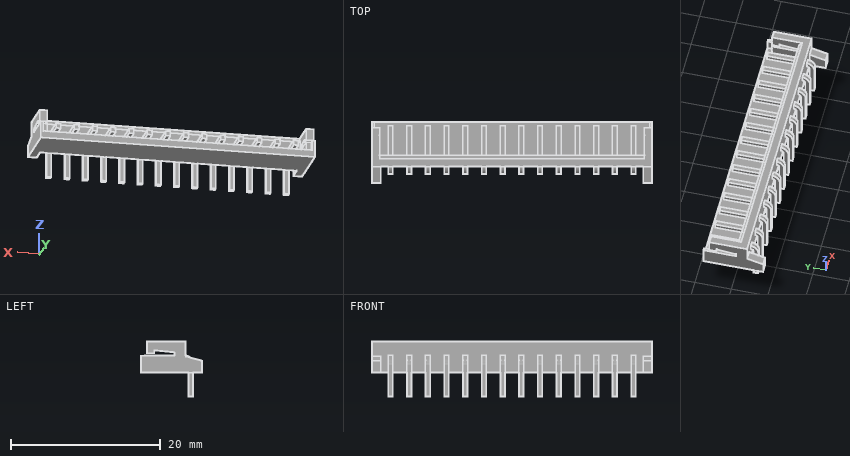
import cadquery as cq


pin_count = 14
pin_pitch = 2.5
pin_size = 0.64
pin_tip_depth = 0.5
pin_top = 2.32
pin_tail_length = 3.2
pin_tail_back = 7.0
bend_outer_radius = 1.1

end_margin = 2.5
length = (pin_count - 1) * pin_pitch + 2 * end_margin
height = 4.2
depth = 6.0

end_wall_setback = 0.8
end_wall_thickness = 1.05
lead_in_lip = 0.35
ledge_height = 2.3
floor_height = 0.95
tray_depth = 4.5
tray_top_depth = 4.95
chamfer_height = 0.65

latch_depth = 1.8
latch_mouth_height = 2.6
latch_front_height = 2.98
latch_rear_height = 2.72

leg_width = 1.2
leg_end_depth = 8.2
leg_root_height = 2.2
leg_tip_height = 1.62


def extrude_profile(points, width, x_center):
    """Extrude a closed outline of (depth, height) points along X, centred on x_center."""
    outline = [(-point_depth, z) for point_depth, z in points]
    profile = cq.Workplane("YZ", origin=(x_center, 0, 0)).polyline(outline).close()
    return profile.extrude(width / 2, both=True)


def make_block():
    """Solid housing with the upper part set back from the mating face."""
    outline = [
        (0, 0),
        (depth, 0),
        (depth, height),
        (end_wall_setback, height),
        (end_wall_setback, ledge_height),
        (0, ledge_height),
    ]
    return extrude_profile(outline, length, 0)


def make_tray():
    """Space between the end walls, widened next to the mating face."""
    tray = [
        (0, floor_height),
        (tray_depth, floor_height),
        (tray_depth, height - chamfer_height),
        (tray_top_depth, height),
        (0, height),
    ]
    lead_in = [
        (0, floor_height),
        (end_wall_setback, floor_height),
        (end_wall_setback, ledge_height),
        (0, ledge_height),
    ]
    tray_space = extrude_profile(tray, length - 2 * end_wall_thickness, 0)
    return tray_space.union(extrude_profile(lead_in, length - 2 * lead_in_lip, 0))


def make_latch_slot():
    """Stepped slot through both end walls, with a sloping roof behind the step."""
    outline = [
        (0, ledge_height),
        (tray_depth, ledge_height),
        (tray_depth, latch_rear_height),
        (latch_depth, latch_front_height),
        (latch_depth, latch_mouth_height),
        (0, latch_mouth_height),
    ]
    return extrude_profile(outline, length, 0)


def make_leg(side):
    """Leg with a sloping top behind the rear wall, on the -X (-1) or +X (+1) end."""
    outline = [
        (depth, 0),
        (leg_end_depth, 0),
        (leg_end_depth, leg_tip_height),
        (depth, leg_root_height),
    ]
    return extrude_profile(outline, leg_width, side * (length - leg_width) / 2)


def make_pin(x_center):
    """Square contact that bends down behind the rear wall."""
    inner_radius = bend_outer_radius - pin_size
    bend_y = bend_outer_radius - pin_tail_back
    bend_z = pin_top - bend_outer_radius
    profile = (
        cq.Workplane("YZ", origin=(x_center, 0, 0))
        .moveTo(-pin_tip_depth, pin_top)
        .lineTo(bend_y, pin_top)
        .radiusArc((bend_y - bend_outer_radius, bend_z), -bend_outer_radius)
        .lineTo(-pin_tail_back, -pin_tail_length)
        .lineTo(pin_size - pin_tail_back, -pin_tail_length)
        .lineTo(bend_y - inner_radius, bend_z)
        .radiusArc((bend_y, pin_top - pin_size), inner_radius)
        .lineTo(-pin_tip_depth, pin_top - pin_size)
        .close()
    )
    return profile.extrude(pin_size / 2, both=True)


result = make_block().cut(make_tray()).cut(make_latch_slot())

for side in (-1, 1):
    result = result.union(make_leg(side))

for index in range(pin_count):
    result = result.union(make_pin((index - (pin_count - 1) / 2) * pin_pitch))